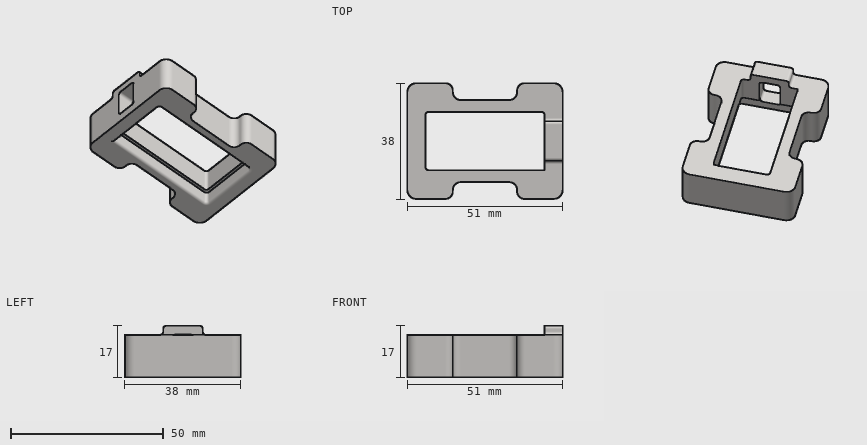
import cadquery as cq

length = 51.0
width = 38.0
body_height = 13.95
corner_radius = 3.0

notch_length = 20.95
notch_depth = 5.5
notch_radius = 2.5

end_wall = 6.0
opening_length = length - 2 * end_wall
opening_width = 19.0
small_radius = 1.0
recess_offset = 1.0
recess_height = 5.0

tab_width = 13.0
total_height = 17.0
tab_height = total_height - body_height

port_width = 7.0
port_bottom = 3.5
port_top = 14.0
port_height = port_top - port_bottom

pick_margin = 0.5


def edges_near_box(half_x, half_y, top):
    """Selector for edges inside a box centred on Z that starts at the underside."""
    return cq.selectors.BoxSelector(
        (-half_x - pick_margin, -half_y - pick_margin, -pick_margin),
        (half_x + pick_margin, half_y + pick_margin, top + pick_margin),
    )


def frame_body():
    body = cq.Workplane("XY").rect(length, width).extrude(body_height)
    body = body.edges("|Z").fillet(corner_radius)
    notches = (
        cq.Workplane("XY")
        .pushPoints([(0, width / 2), (0, -width / 2)])
        .rect(notch_length, 2 * notch_depth)
        .extrude(body_height)
    )
    body = body.cut(notches)
    notch_edges = body.edges("|Z").edges(edges_near_box(notch_length / 2, width / 2, body_height))
    return notch_edges.fillet(notch_radius)


def opening_prism(offset, height):
    """Opening enlarged by offset on every side; its +X, -Y corner stays sharp."""
    prism = (
        cq.Workplane("XY")
        .rect(opening_length + 2 * offset, opening_width + 2 * offset)
        .extrude(height)
    )
    return prism.edges("|Z and (<X or >Y)").fillet(small_radius)


def end_tab():
    """Tab with rounded top edges and concave fillets where it meets the body."""
    half_width = tab_width / 2
    foot = half_width + small_radius
    shoulder = half_width - small_radius
    arc_top = tab_height - small_radius
    profile = (
        cq.Workplane("YZ", origin=(length / 2 - end_wall, 0, body_height))
        .moveTo(-foot, 0)
        .radiusArc((-half_width, small_radius), -small_radius)
        .lineTo(-half_width, arc_top)
        .radiusArc((-shoulder, tab_height), small_radius)
        .lineTo(shoulder, tab_height)
        .radiusArc((half_width, arc_top), small_radius)
        .lineTo(half_width, small_radius)
        .radiusArc((foot, 0), -small_radius)
        .close()
    )
    return profile.extrude(end_wall)


def end_port():
    port = (
        cq.Workplane("YZ", origin=(length / 2 - end_wall, 0, port_bottom + port_height / 2))
        .rect(port_width, port_height)
        .extrude(end_wall)
    )
    return port.edges("|X").fillet(small_radius)


result = frame_body().cut(opening_prism(0, body_height))
result = result.cut(opening_prism(recess_offset, recess_height))

mouth_edges = result.faces("<Z").edges(
    edges_near_box(opening_length / 2 + recess_offset, opening_width / 2 + recess_offset, 0)
)
result = mouth_edges.fillet(small_radius)

result = result.union(end_tab()).cut(end_port())